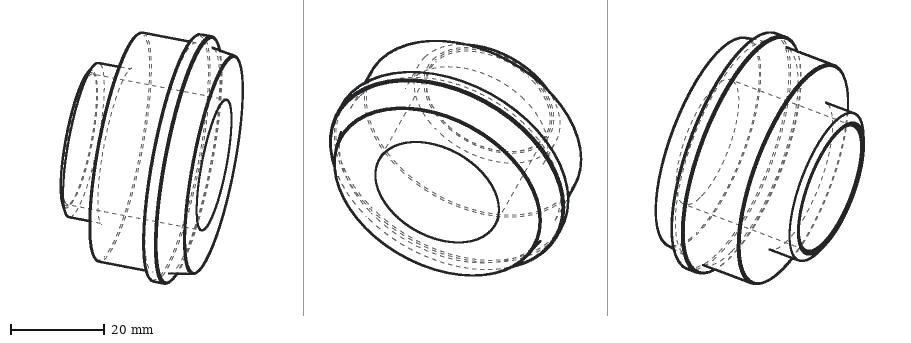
import cadquery as cq
import math

total_length = 30.0
bore_radius = 28.5 / 2
neck_radius = 33.7 / 2
body_radius = 50.0 / 2
collar_radius = 54.0 / 2

body_start = 9.0
collar_start = 21.5
collar_width = 3.0
collar_end = collar_start + collar_width

weld_bevel_height = 1.85
weld_bevel_angle = 30.0
weld_bevel_length = weld_bevel_height * math.tan(math.radians(weld_bevel_angle))

taper_angle = 9.0
taper_end_radius = 23.8
taper_length = total_length - collar_end
taper_start_radius = taper_end_radius + taper_length * math.tan(math.radians(taper_angle))

neck_fillet = 1.0
collar_fillet = 0.4
edge_chamfer = 0.3
taper_chamfer = 0.2
bore_chamfer = 0.3

edge_tolerance = 0.01


def revolve_outline():
    """Solid of revolution with sharp shoulders and the weld bevel."""
    return (
        cq.Workplane("XY")
        .moveTo(0, 0)
        .lineTo(0, neck_radius - weld_bevel_height)
        .lineTo(weld_bevel_length, neck_radius)
        .lineTo(body_start, neck_radius)
        .lineTo(body_start, body_radius)
        .lineTo(collar_start, body_radius)
        .lineTo(collar_start, collar_radius)
        .lineTo(collar_end, collar_radius)
        .lineTo(collar_end, taper_start_radius)
        .lineTo(total_length, taper_end_radius)
        .lineTo(total_length, 0)
        .close()
        .revolve(360, (0, 0, 0), (1, 0, 0))
    )


def cut_bore(part):
    """Through bore along the axis."""
    bore = cq.Workplane("YZ").circle(bore_radius).extrude(total_length)
    return part.cut(bore)


def circle_at(part, x, radius):
    """Circular edge of the given radius lying in the plane at x."""
    low = (x - edge_tolerance, -collar_radius, -collar_radius)
    high = (x + edge_tolerance, collar_radius, collar_radius)
    in_plane = part.edges(cq.selectors.BoxSelector(low, high))
    return in_plane.filter(
        lambda edge: edge.geomType() == "CIRCLE" and abs(edge.radius() - radius) < edge_tolerance
    )


def fillet_inner_corners(part):
    """Fillets where the shoulders rise from the neck, body and taper."""
    part = circle_at(part, body_start, neck_radius).fillet(neck_fillet)
    part = circle_at(part, collar_start, body_radius).fillet(collar_fillet)
    return circle_at(part, collar_end, taper_start_radius).fillet(collar_fillet)


def chamfer_outer_edges(part):
    """Chamfers on the body, both collar edges, the taper end and the bore mouth."""
    part = circle_at(part, body_start, body_radius).chamfer(edge_chamfer)
    part = circle_at(part, collar_start, collar_radius).chamfer(edge_chamfer)
    part = circle_at(part, collar_end, collar_radius).chamfer(edge_chamfer)
    part = circle_at(part, total_length, taper_end_radius).chamfer(taper_chamfer)
    return circle_at(part, 0, bore_radius).chamfer(bore_chamfer)


result = chamfer_outer_edges(fillet_inner_corners(cut_bore(revolve_outline())))